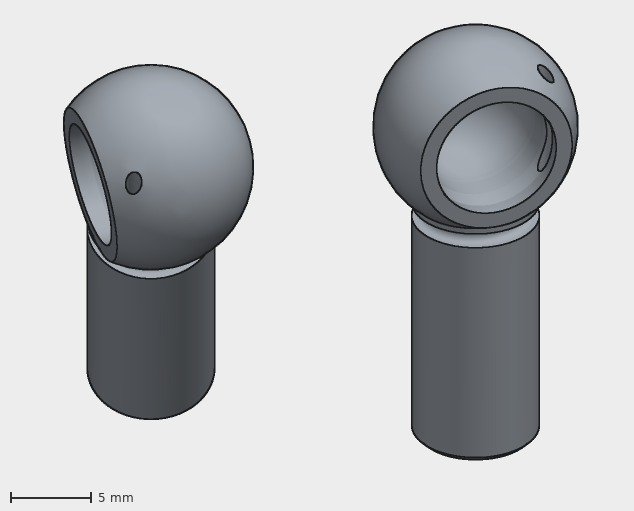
import cadquery as cq
import math

overall_height = 28.4
ball_diameter = 12.8
ball_radius = ball_diameter / 2
mouth_y = -4.0

shank_diameter = 7.98
shank_radius = shank_diameter / 2
shank_bottom_z = ball_radius - overall_height
shank_chamfer = 0.4

neck_groove_width = 1.0
neck_groove_radius = neck_groove_width / 2
neck_groove_z = -5.9
neck_radius = 3.15
neck_shoulder_radius = neck_radius + neck_groove_radius

mouth_radius = 3.95
clip_groove_radius = 4.1
clip_groove_y = -2.78
seat_radius = 3.95
seat_start_y = -1.55
seat_end_y = 0.0
dome_radius = 3.92
dome_start_y = 0.5

clip_hole_diameter = 1.0
clip_hole_x = 3.78
clip_hole_y = -2.47


def make_body():
    groove_top_z = neck_groove_z + neck_groove_radius
    groove_bottom_z = neck_groove_z - neck_groove_radius
    collar_top_z = -math.sqrt(ball_radius**2 - shank_radius**2)
    return (
        cq.Workplane("XZ")
        .moveTo(0, ball_radius)
        .threePointArc((ball_radius, 0), (shank_radius, collar_top_z))
        .lineTo(shank_radius, groove_top_z)
        .lineTo(neck_shoulder_radius, groove_top_z)
        .threePointArc((neck_radius, neck_groove_z), (neck_shoulder_radius, groove_bottom_z))
        .lineTo(shank_radius, groove_bottom_z)
        .lineTo(shank_radius, shank_bottom_z + shank_chamfer)
        .lineTo(shank_radius - shank_chamfer, shank_bottom_z)
        .lineTo(0, shank_bottom_z)
        .close()
        .revolve(360, (0, 0, 0), (0, 1, 0))
    )


def make_mouth_cutter():
    return (
        cq.Workplane("XY")
        .box(ball_diameter, ball_diameter, ball_diameter)
        .translate((0, mouth_y - ball_diameter / 2, 0))
    )


def make_socket():
    diagonal = dome_radius / math.sqrt(2)
    return (
        cq.Workplane("XY")
        .moveTo(0, mouth_y)
        .lineTo(mouth_radius, mouth_y)
        .lineTo(clip_groove_radius, clip_groove_y)
        .lineTo(seat_radius, seat_start_y)
        .lineTo(seat_radius, seat_end_y)
        .lineTo(dome_radius, dome_start_y)
        .threePointArc((diagonal, dome_start_y + diagonal), (0, dome_start_y + dome_radius))
        .close()
        .revolve(360, (0, 0, 0), (0, 1, 0))
    )


def make_clip_hole():
    return (
        cq.Workplane("XY")
        .workplane(offset=-ball_radius)
        .center(clip_hole_x, clip_hole_y)
        .circle(clip_hole_diameter / 2)
        .extrude(ball_diameter)
    )


body = make_body().cut(make_mouth_cutter())
result = body.cut(make_clip_hole()).cut(make_socket())